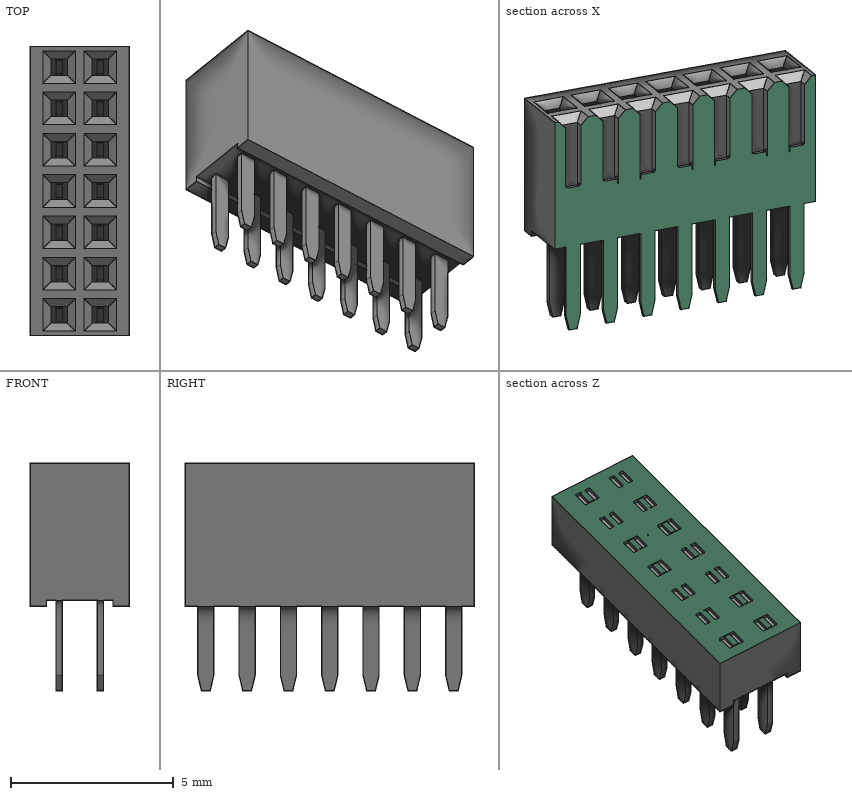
import cadquery as cq

PITCH = 1.27
COLUMNS = 2
ROWS = 7

BODY_WIDTH = 3.05
BODY_LENGTH = ROWS * PITCH
BODY_HEIGHT = 4.4
CHANNEL_WIDTH = 2.03
CHANNEL_DEPTH = 0.18

FUNNEL_MOUTH = 1.0
SHAFT_SIDE = 0.51
FUNNEL_DEPTH = 0.25
SOCKET_DEPTH = 2.4

OVERALL_HEIGHT = 7.0
PIN_THICKNESS = 0.2
PIN_WIDTH = 0.5
PIN_TIP_WIDTH = 0.27
PIN_TAPER_HEIGHT = 0.48
PIN_RISE = 0.2
PIN_DISH_WIDTH = 0.4
PIN_DISH_DEPTH = 0.05

SOCKET_FLOOR = BODY_HEIGHT - SOCKET_DEPTH
PIN_TOP = SOCKET_FLOOR + PIN_RISE
PIN_BOTTOM = BODY_HEIGHT - OVERALL_HEIGHT

CONTACT_POSITIONS = [
    ((column - (COLUMNS - 1) / 2) * PITCH, (row - (ROWS - 1) / 2) * PITCH)
    for column in range(COLUMNS)
    for row in range(ROWS)
]


def make_housing():
    """Rectangular block with a full-length channel that leaves two rails underneath."""
    upright = (True, True, False)
    block = cq.Workplane("XY").box(BODY_WIDTH, BODY_LENGTH, BODY_HEIGHT, centered=upright)
    channel = cq.Workplane("XY").box(CHANNEL_WIDTH, BODY_LENGTH, CHANNEL_DEPTH, centered=upright)
    return block.cut(channel)


def make_socket():
    """Cavity of one socket, centred on the Z axis."""
    funnel = (
        cq.Workplane("XY", origin=(0, 0, BODY_HEIGHT))
        .rect(FUNNEL_MOUTH, FUNNEL_MOUTH)
        .workplane(offset=-FUNNEL_DEPTH)
        .rect(SHAFT_SIDE, SHAFT_SIDE)
        .loft(ruled=True)
    )
    shaft = (
        cq.Workplane("XY", origin=(0, 0, SOCKET_FLOOR))
        .rect(SHAFT_SIDE, SHAFT_SIDE)
        .extrude(SOCKET_DEPTH - FUNNEL_DEPTH)
    )
    return funnel.union(shaft)


def make_pin():
    """One flat pin, centred on the Z axis, with its wide faces toward +X and -X."""
    half_width = PIN_WIDTH / 2
    half_dish = PIN_DISH_WIDTH / 2
    half_tip = PIN_TIP_WIDTH / 2
    dish_bottom = PIN_TOP - PIN_DISH_DEPTH
    shoulder = PIN_BOTTOM + PIN_TAPER_HEIGHT
    outline = [
        (-half_width, PIN_TOP),
        (-half_width, shoulder),
        (-half_tip, PIN_BOTTOM),
        (half_tip, PIN_BOTTOM),
        (half_width, shoulder),
        (half_width, PIN_TOP),
        (half_dish, dish_bottom),
        (-half_dish, dish_bottom),
    ]
    return cq.Workplane("YZ").polyline(outline).close().extrude(PIN_THICKNESS / 2, both=True)


result = make_housing()
socket = make_socket()
pin = make_pin()
for x, y in CONTACT_POSITIONS:
    result = result.cut(socket.translate((x, y, 0)))
    result = result.union(pin.translate((x, y, 0)))